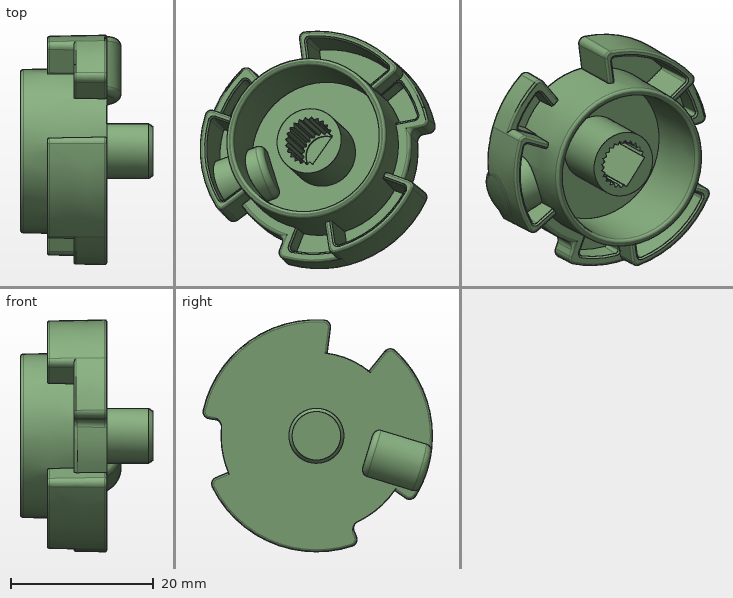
import cadquery as cq
import math

BACK_X = 12.1
BACK_WALL = 1.0
FLOOR_X = BACK_X - BACK_WALL
DRAFT = 1.0

CUP_RADIUS = 11.65
CUP_WALL = 1.0
CUP_RIM_FILLET = 0.45

LOBE_RADIUS = 16.25
LOBE_WALL = 1.1
LOW_LOBE_WALL = 1.4
LOBE_CORNER = 1.0
RIM_FILLET = 0.3
POCKET_CORNER = 0.5
POCKET_INNER_RADIUS = 9.0
POCKET_DRAFT = 2.0
MOUTH_FLARE = 0.25
FLARE_ANGLE = 45.0
TALL_FRONT_X = 3.8
LOW_FRONT_X = 7.5
LOBE_COUNT = 3
LOBE_PITCH = 360 / LOBE_COUNT
TALL_END = 38.5
TALL_STARTS = (97.5, 97.5, 95.0)
LOW_START = 68.0
LOW_ENDS = (9.0, 8.3, 9.0)
ROOT_RADIUS = CUP_RADIUS - CUP_WALL / 2

FLANGE_RADIUS = 13.35
FLANGE_OVERLAP = 4.0
FLANGE_EDGE_FILLET = 0.5
FLANGE_CORNER_FILLET = 1.0
FLANGED_LOBES = (0, 1)

POST_RADIUS = 4.6
POST_FRONT_X = 2.0
TEETH_END_X = BACK_X
BORE_END_X = 12.35
TOOTH_COUNT = 24
TOOTH_PITCH = 360 / TOOTH_COUNT
TOOTH_TIP_RADIUS = 3.4
TOOTH_ROOT_RADIUS = 3.0
BORE_BOTTOM_RADIUS = 2.75
BORE_FIRST_TIP = 9.0
BORE_TEETH = 18

SHAFT_RADIUS = 3.85
SHAFT_END_X = 18.59
SHAFT_CHAMFER_LENGTH = 0.62
SHAFT_CHAMFER_DEPTH = 0.45

BARREL_RADIUS = 3.85
BARREL_AXIS_X = 14.1 - BARREL_RADIUS
BARREL_ANGLE = 197.0
BARREL_INNER = 7.5
BARREL_FILLET = 0.95


def polar(radius, angle):
    """(Y, Z) of a point at a radius and an angle about the knob axis."""
    turn = math.radians(angle)
    return (-radius * math.cos(turn), radius * math.sin(turn))


def offset_side(radius, angle, gap):
    """Point at a radius on a line parallel to the radial line, a gap away."""
    return polar(radius, angle + math.degrees(math.asin(gap / radius)))


def sector(front_x, back_x, inner, outer, start, end, start_gap=0.0, end_gap=0.0,
           corner=0.0):
    """Sector from start down to end, with sides moved in by the gaps.

    The outer side is an arc and the inner side a chord.
    """
    middle = (start + end) / 2
    outline = (
        cq.Workplane("YZ", origin=(back_x, 0, 0))
        .moveTo(*offset_side(inner, start, -start_gap))
        .lineTo(*offset_side(outer, start, -start_gap))
        .threePointArc(polar(outer, middle), offset_side(outer, end, end_gap))
        .lineTo(*offset_side(inner, end, end_gap))
        .close()
    )
    solid = outline.extrude(front_x - back_x)
    if corner:
        solid = solid.edges("|X").fillet(corner)
    return solid


def drafted(solid, face, angle):
    """Same prism along X, narrowing with distance from the selected end face."""
    length = solid.val().BoundingBox().xlen
    outline = solid.faces(face).wires().toPending().workplane()
    return outline.extrude(-length, combine=False, taper=angle)


def make_cup():
    """Drafted cup, open at X = 0, with a rounded rim."""
    draft_offset = BACK_X * math.tan(math.radians(DRAFT))
    outside = cq.Workplane("YZ", origin=(BACK_X, 0, 0)).circle(CUP_RADIUS)
    outside = outside.extrude(-BACK_X, taper=DRAFT)
    cavity_radius = CUP_RADIUS - draft_offset - CUP_WALL
    cavity = cq.Workplane("YZ").circle(cavity_radius).extrude(FLOOR_X, taper=DRAFT)
    return outside.cut(cavity).faces("<X").edges().fillet(CUP_RIM_FILLET)


def round_faces(solid):
    """Round the edges of the front and rear faces."""
    return solid.faces("<X or >X").edges().fillet(RIM_FILLET)


def make_pocket(front_x, start, end, start_gap, end_gap):
    """Lobe pocket, open at the front, with rounded corners and a flared mouth."""
    blank = sector(front_x, FLOOR_X, POCKET_INNER_RADIUS, LOBE_RADIUS - end_gap,
                   start, end, start_gap, end_gap, POCKET_CORNER)
    pocket = drafted(blank, "<X", POCKET_DRAFT)
    mouth = pocket.faces("<X").wires().toPending().workplane().offset2D(MOUTH_FLARE)
    mouth = mouth.extrude(-MOUTH_FLARE, combine=False, taper=FLARE_ANGLE)
    return pocket.union(mouth)


def make_flange(low_end, next_side):
    """Arc flange from a low lobe to the side wall of the next tall lobe."""
    flange = sector(LOW_FRONT_X, BACK_X, ROOT_RADIUS, FLANGE_RADIUS,
                    low_end + FLANGE_OVERLAP, next_side, end_gap=-LOBE_WALL / 2)
    outer_arc = cq.selectors.RadiusNthSelector(-1)
    return flange.faces("<X").edges(outer_arc).fillet(FLANGE_EDGE_FILLET)


def make_lobe_pair(tall_start, low_end, next_tall_start, flanged):
    """Tall and low lobe with open-front pockets, and the flange beside the low lobe."""
    tall = sector(TALL_FRONT_X, BACK_X, ROOT_RADIUS, LOBE_RADIUS, tall_start, TALL_END,
                  corner=LOBE_CORNER)
    low = sector(LOW_FRONT_X, BACK_X, ROOT_RADIUS, LOBE_RADIUS, LOW_START, low_end,
                 corner=LOBE_CORNER)
    pair = round_faces(drafted(tall, ">X", DRAFT)).union(round_faces(drafted(low, ">X", DRAFT)))
    if flanged:
        pair = pair.union(make_flange(low_end, next_tall_start - LOBE_PITCH))
        corner_y, corner_z = polar(FLANGE_RADIUS, low_end)
        corner = cq.selectors.NearestToPointSelector(((LOW_FRONT_X + BACK_X) / 2, corner_y, corner_z))
        pair = pair.edges(corner).fillet(FLANGE_CORNER_FILLET)
    pair = pair.cut(make_pocket(TALL_FRONT_X, tall_start, TALL_END, LOBE_WALL, LOBE_WALL))
    pair = pair.cut(make_pocket(LOW_FRONT_X, TALL_END, low_end, 0, LOW_LOBE_WALL))
    return pair.cut(cq.Workplane("YZ").circle(ROOT_RADIUS).extrude(BACK_X))


def make_barrel():
    """Solid round barrel along a radius, with rounded ends."""
    outward_y, outward_z = polar(1, BARREL_ANGLE)
    start = (BARREL_AXIS_X, BARREL_INNER * outward_y, BARREL_INNER * outward_z)
    plane = cq.Plane(origin=start, xDir=(1, 0, 0), normal=(0, outward_y, outward_z))
    barrel = cq.Workplane(plane).circle(BARREL_RADIUS).extrude(LOBE_RADIUS)
    envelope = cq.Workplane("YZ").circle(LOBE_RADIUS).extrude(SHAFT_END_X)
    barrel = barrel.intersect(envelope)
    return barrel.edges().fillet(BARREL_FILLET)


def make_post():
    """Central post inside the cup and the chamfered shaft behind it."""
    post = cq.Workplane("YZ", origin=(POST_FRONT_X, 0, 0)).circle(POST_RADIUS)
    post = post.extrude(BACK_X - POST_FRONT_X)
    shaft = cq.Workplane("YZ", origin=(POST_FRONT_X, 0, 0)).circle(SHAFT_RADIUS)
    shaft = shaft.extrude(SHAFT_END_X - POST_FRONT_X)
    shaft = shaft.faces(">X").chamfer(SHAFT_CHAMFER_LENGTH, SHAFT_CHAMFER_DEPTH)
    return post.union(shaft)


def make_bore():
    """Toothed blind bore with one flat and a narrower round bottom."""
    points = [polar(TOOTH_TIP_RADIUS, BORE_FIRST_TIP)]
    for tooth in range(BORE_TEETH):
        tip = BORE_FIRST_TIP + tooth * TOOTH_PITCH
        points.append(polar(TOOTH_ROOT_RADIUS, tip + TOOTH_PITCH / 2))
        points.append(polar(TOOTH_TIP_RADIUS, tip + TOOTH_PITCH))
    outline = cq.Workplane("YZ", origin=(POST_FRONT_X, 0, 0)).polyline(points).close()
    full_bore = outline.extrude(BORE_END_X - POST_FRONT_X)
    bottom = cq.Workplane("YZ").circle(BORE_BOTTOM_RADIUS).extrude(BORE_END_X)
    toothed = cq.Workplane("YZ").circle(POST_RADIUS).extrude(TEETH_END_X)
    return full_bore.intersect(toothed.union(bottom))


result = make_cup()
for index in range(LOBE_COUNT):
    next_start = TALL_STARTS[(index + 1) % LOBE_COUNT]
    pair = make_lobe_pair(TALL_STARTS[index], LOW_ENDS[index], next_start, index in FLANGED_LOBES)
    result = result.union(pair.rotate((0, 0, 0), (1, 0, 0), index * LOBE_PITCH))
result = result.union(make_barrel()).union(make_post()).cut(make_bore())